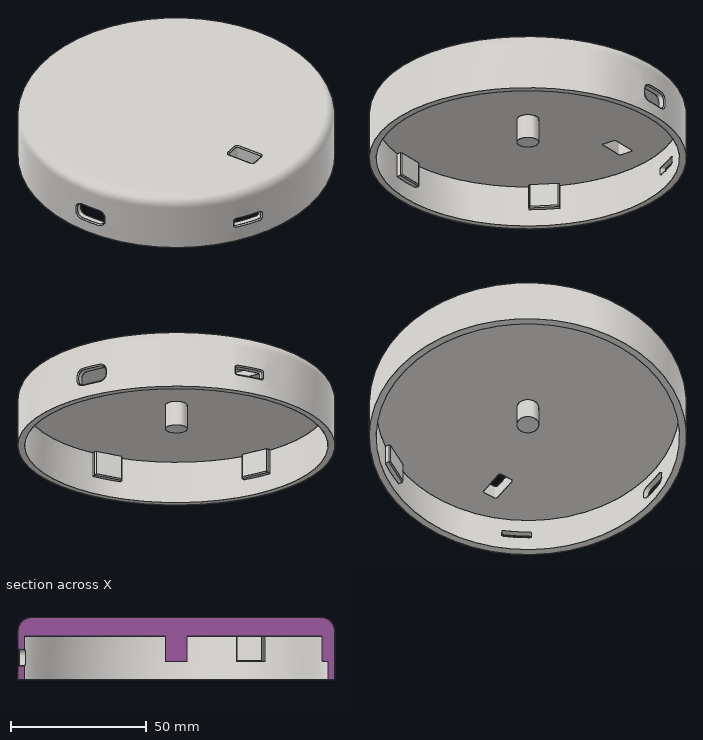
import cadquery as cq
import math

diameter = 117.0
height = 23.0
rim_fillet = 5.0
wall = 2.6
roof = 7.0

edge_break = 0.5
opening_z = 8.2
slot_width = 11.9
slot_height = 6.0
slot_corner = 2.5
slot_angle = -90.0
window_length = 11.0
window_corner = 0.7
side_window_height = 3.0
side_window_angle = -30.0
roof_window_width = 6.0
roof_window_x = 38.4
roof_window_y = -12.8

support_bottom = 6.7
post_diameter = 8.1
pad_width = 11.3
pad_protrusion = 2.2
pad_angles = (30.0, 90.0, 150.0)

radius = diameter / 2
inner_radius = radius - wall
support_height = height - roof / 2 - support_bottom
tolerance = 0.01


def make_shell():
    body = cq.Workplane("XY").circle(radius).extrude(height)
    body = body.faces(">Z").edges().fillet(rim_fillet)
    cavity = cq.Workplane("XY").circle(inner_radius).extrude(height - roof)
    return body.cut(cavity)


def make_post():
    """Central post hanging from the roof."""
    return cq.Workplane("XY", origin=(0, 0, support_bottom)).circle(post_diameter / 2).extrude(support_height)


def make_pad(angle):
    """Shallow pad on the inner wall, chamfered along its sides and lower edge."""
    depth = pad_protrusion + wall / 2
    pad = cq.Workplane("XY").box(depth, pad_width, support_height, centered=(False, True, False))
    pad = pad.faces("<X").edges("|Z or <Z").chamfer(edge_break)
    pad = pad.translate((inner_radius - pad_protrusion, 0, support_bottom))
    return pad.rotate((0, 0, 0), (0, 0, 1), angle)


def rounded_bar(length, width, depth, corner):
    return cq.Workplane("XY").rect(length, width).extrude(depth).edges("|Z").fillet(corner)


def wall_cutter(width, opening_height, corner, angle):
    """Bar reaching radially outward through the wall at the given angle."""
    bar = rounded_bar(opening_height, width, 3 * wall, corner)
    bar = bar.rotate((0, 0, 0), (0, 1, 0), 90)
    bar = bar.translate((radius - 2 * wall, 0, opening_z))
    return bar.rotate((0, 0, 0), (0, 0, 1), angle)


def roof_cutter():
    bar = rounded_bar(window_length, roof_window_width, height, window_corner)
    return bar.translate((roof_window_x, roof_window_y, 0))


def is_opening_outline(edge):
    """True for opening edges on the outside of the cap, not for its rim and seam edges."""
    middle = edge.positionAt(0.5)
    distance = math.hypot(middle.x, middle.y)
    on_roof = middle.z > height - tolerance and distance < radius - rim_fillet - tolerance
    on_wall = distance > radius - tolerance and abs(middle.z - opening_z) < slot_height / 2 + tolerance
    return on_roof or (on_wall and edge.Length() <= slot_width)


result = make_shell().union(make_post())
for pad_angle in pad_angles:
    result = result.union(make_pad(pad_angle))

result = result.cut(wall_cutter(slot_width, slot_height, slot_corner, slot_angle))
result = result.cut(wall_cutter(window_length, side_window_height, window_corner, side_window_angle))
result = result.cut(roof_cutter())

outlines = [edge for edge in result.edges().vals() if is_opening_outline(edge)]
result = result.newObject(outlines).chamfer(edge_break)